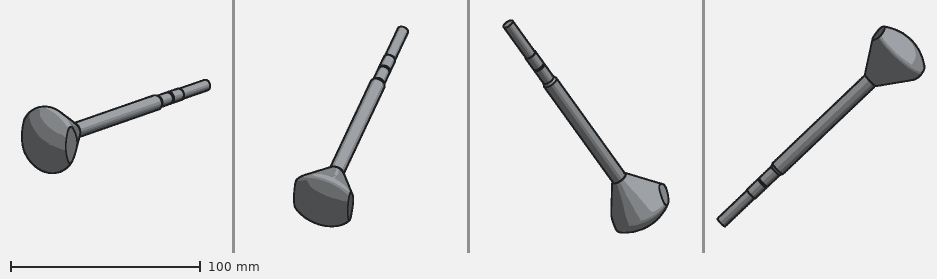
import cadquery as cq
import math

total_length = 140.0

tail_length = 22.0
groove_start = 30.2
groove_width = 0.7
shoulder_start = 39.9
shoulder_length = 1.7
shaft_end = 109.8

tail_radius = 5.9 / 2
collar_radius = 6.5 / 2
groove_radius = 5.6 / 2
shaft_radius = 8.0 / 2

cone_base_radius = 8.7 / 2
head_radius = 36.0 / 2
rim_radius = 3.1
dome_radius = 25.0
width_across_flats = 30.0


def from_tail(distance):
    """Y position of a point this far from the free end of the shank."""
    return total_length - distance


def rim_point(angle):
    """Point on the rim arc; the angle is measured from radial, positive towards +Y."""
    return (
        rim_center_radius + rim_radius * math.cos(angle),
        rim_center_y + rim_radius * math.sin(angle),
    )


rim_center_radius = head_radius - rim_radius
dome_angle = math.asin(rim_center_radius / (dome_radius - rim_radius))
rim_center_y = dome_radius - (dome_radius - rim_radius) * math.cos(dome_angle)

cone_base_y = from_tail(shaft_end)
radial_gap = rim_center_radius - cone_base_radius
axial_gap = cone_base_y - rim_center_y
cone_angle = math.atan2(radial_gap, axial_gap) + math.asin(rim_radius / math.hypot(radial_gap, axial_gap))

rim_at_cone = rim_point(cone_angle)
rim_at_dome = rim_point(dome_angle - math.pi / 2)
dome_middle = (
    dome_radius * math.sin(dome_angle / 2),
    dome_radius - dome_radius * math.cos(dome_angle / 2),
)


def make_turned_body():
    """Half profile (radius, Y) revolved about the Y axis."""
    groove_end = groove_start + groove_width
    shoulder_end = shoulder_start + shoulder_length
    profile = (
        cq.Workplane("XY")
        .moveTo(0, from_tail(0))
        .lineTo(tail_radius, from_tail(0))
        .lineTo(tail_radius, from_tail(tail_length))
        .lineTo(collar_radius, from_tail(tail_length))
        .lineTo(collar_radius, from_tail(groove_start))
        .lineTo(groove_radius, from_tail(groove_start))
        .lineTo(groove_radius, from_tail(groove_end))
        .lineTo(collar_radius, from_tail(groove_end))
        .lineTo(collar_radius, from_tail(shoulder_start))
        .lineTo(shaft_radius, from_tail(shoulder_end))
        .lineTo(shaft_radius, cone_base_y)
        .lineTo(cone_base_radius, cone_base_y)
        .lineTo(*rim_at_cone)
        .threePointArc(rim_point(0), rim_at_dome)
        .threePointArc(dome_middle, (0, 0))
        .close()
    )
    return profile.revolve(360, (0, 0), (0, 1))


def make_flats_envelope():
    """Slab that keeps the material between the two flats of the head."""
    return cq.Workplane("XY").box(
        width_across_flats, total_length, 2 * head_radius, centered=(True, False, True)
    )


result = make_turned_body().intersect(make_flats_envelope())